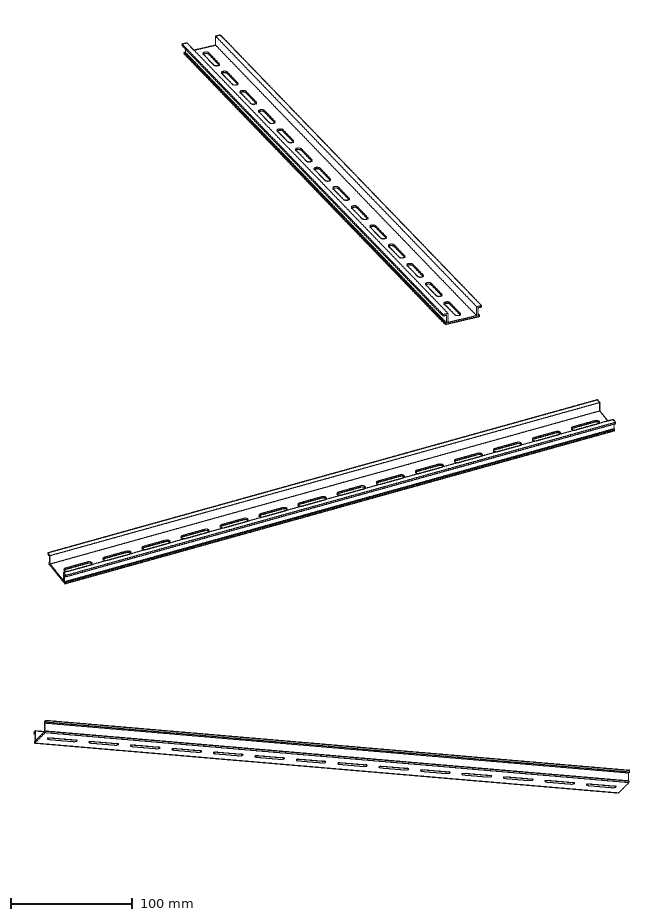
import cadquery as cq

length = 500.0
width = 35.0
height = 10.0
sheet = 1.5

wall_width = 29.0
base_width = 31.0

slot_count = 14
slot_pitch = 35.5
slot_length = 25.0
slot_width = 5.0


def hat_section():
    """Base with projecting edges, two upright walls and two outward lips, extruded along X."""
    half_wall = wall_width / 2
    half_base = base_width / 2
    half_inside = half_wall - sheet
    half_width = width / 2
    lip_bottom = height - sheet
    right_half = [
        (half_base, 0),
        (half_base, sheet),
        (half_wall, sheet),
        (half_wall, lip_bottom),
        (half_width, lip_bottom),
        (half_width, height),
        (half_inside, height),
        (half_inside, sheet),
    ]
    left_half = [(-y, z) for y, z in reversed(right_half)]
    outline = cq.Workplane("YZ").polyline(right_half + left_half).close()
    return outline.extrude(length / 2, both=True)


def mounting_slots():
    """Round-ended cutters through the base, centred along the rail."""
    return (
        cq.Workplane("XY")
        .rarray(slot_pitch, 5, slot_count, 1)
        .slot2D(slot_length, slot_width)
        .extrude(sheet)
    )


result = hat_section().cut(mounting_slots())